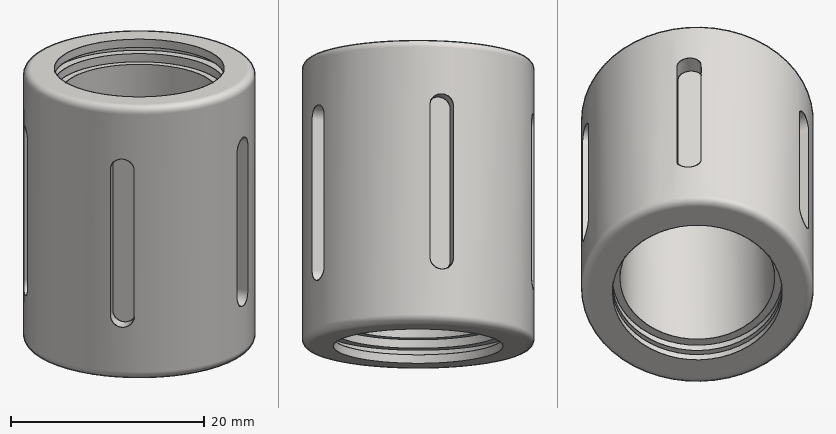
import cadquery as cq

length = 30.0
outer_radius = 12.0
bore_radius = 8.0
edge_fillet = 0.8

recess_radius = 8.8
recess_depth = 2.5
groove_radius = 9.8
groove_start = 0.9
groove_end = 1.6

slot_count = 5
slot_width = 2.5
slot_length = 18.5
slot_floor_radius = 10.3
first_slot_angle = 18.0
slot_overcut = 0.3


def disc(radius, bottom, top):
    """Solid cylinder about Z between two heights."""
    return cq.Workplane("XY").workplane(offset=bottom).circle(radius).extrude(top - bottom)


def make_sleeve():
    body = disc(outer_radius, 0, length).faces("<Z or >Z").edges().fillet(edge_fillet)
    return body.cut(disc(bore_radius, 0, length))


def make_top_recess():
    recess = disc(recess_radius, length - recess_depth, length)
    groove = disc(groove_radius, length - groove_end, length - groove_start)
    return recess.union(groove)


def make_slot(angle):
    """Round-ended slot cutter facing outward at the given angle about Z."""
    cutter = (
        cq.Workplane("YZ", origin=(slot_floor_radius, 0, length / 2))
        .slot2D(slot_length, slot_width, 90)
        .extrude(outer_radius + slot_overcut - slot_floor_radius)
    )
    return cutter.rotate((0, 0, 0), (0, 0, 1), angle)


top_recess = make_top_recess()
bottom_recess = top_recess.mirror("XY", (0, 0, length / 2))
result = make_sleeve().cut(top_recess).cut(bottom_recess)

for index in range(slot_count):
    result = result.cut(make_slot(first_slot_angle + index * 360 / slot_count))